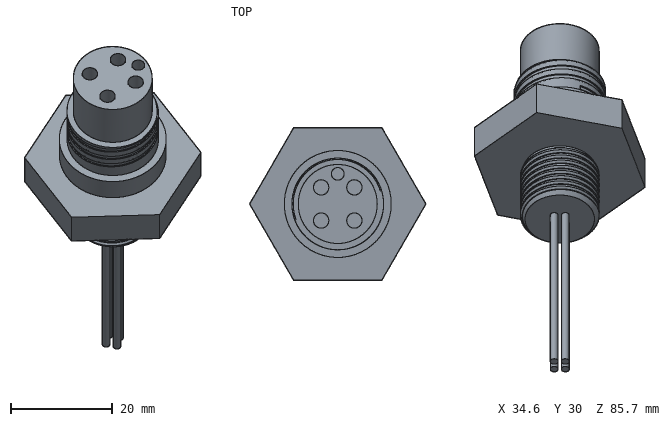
import cadquery as cq
import math

wire_length = 39.85
lower_thread_height = 12.9
hex_height = 7.8
shoulder_height = 5.2
collar_height = 9.2
total_height = 85.7
hex_bottom = wire_length + lower_thread_height
shoulder_bottom = hex_bottom + hex_height
collar_bottom = shoulder_bottom + shoulder_height
barrel_bottom = collar_bottom + collar_height

hex_across_flats = 30.0
hex_across_corners = hex_across_flats / math.cos(math.radians(30))
shoulder_diameter = 21.0
collar_diameter = 18.0
barrel_diameter = 15.5

collar_pitch = 2.4
collar_groove_width = 1.0
collar_groove_depth = 0.25
collar_groove_start_angle = 162.0
collar_groove_start_height = 2.2

lower_thread_diameter = 15.5
lower_thread_root_diameter = 14.65
lower_pitch = 1.41
lower_groove_start_angle = 180.0
lower_groove_turns = 9
neck_height = 0.9
neck_groove_overlap = 0.3
tip_chamfer_radial = 0.9
tip_chamfer_height = 1.0
lower_groove_root_flat = 0.2
lower_crest_flat = 0.5

socket_diameter = 3.0
socket_spacing = 6.5
key_hole_diameter = 2.5
key_hole_offset = 5.9
socket_depth = 8.6

wire_diameter = 1.5
wire_circle_radius = wire_diameter
wire_count = 4
wire_embed = 0.85

cutter_overshoot = 0.25


def cylinder(diameter, bottom, height):
    return cq.Workplane("XY").workplane(offset=bottom).circle(diameter / 2).extrude(height)


def groove_cutter(outer_radius, depth, root_width, crest_width, pitch, turns, start_height, start_angle):
    """Solid that cuts a right-hand helical groove with straight flanks."""
    root_radius = outer_radius - depth
    flank_slope = (crest_width - root_width) / depth
    outer_width = crest_width + flank_slope * cutter_overshoot
    profile_points = [
        (root_radius, -root_width / 2),
        (outer_radius + cutter_overshoot, -outer_width / 2),
        (outer_radius + cutter_overshoot, outer_width / 2),
        (root_radius, root_width / 2),
    ]
    helix = cq.Workplane(cq.Wire.makeHelix(pitch, pitch * turns, root_radius))
    cutter = cq.Workplane("XZ").polyline(profile_points).close().sweep(helix, isFrenet=True)
    return cutter.rotate((0, 0, 0), (0, 0, 1), start_angle).translate((0, 0, start_height))


def make_collar():
    blank = cylinder(collar_diameter, collar_bottom, 2 * collar_height)
    turns = (collar_height - collar_groove_start_height + collar_groove_width) / collar_pitch
    cutter = groove_cutter(
        collar_diameter / 2, collar_groove_depth, collar_groove_width, collar_groove_width,
        collar_pitch, turns, collar_bottom + collar_groove_start_height, collar_groove_start_angle,
    )
    return blank.cut(cutter).intersect(cylinder(shoulder_diameter, collar_bottom, collar_height))


def make_lower_thread():
    radius = lower_thread_diameter / 2
    root_radius = lower_thread_root_diameter / 2
    neck_bottom = hex_bottom - neck_height
    outline = [
        (0, wire_length),
        (radius - tip_chamfer_radial, wire_length),
        (radius, wire_length + tip_chamfer_height),
        (radius, neck_bottom),
        (root_radius, neck_bottom),
        (root_radius, hex_bottom),
        (0, hex_bottom),
    ]
    stud = cq.Workplane("XZ").polyline(outline).close().revolve(360, (0, 0), (0, 1))
    groove_start = hex_bottom - neck_groove_overlap - lower_groove_turns * lower_pitch
    cutter = groove_cutter(
        radius, radius - root_radius, lower_groove_root_flat, lower_pitch - lower_crest_flat,
        lower_pitch, lower_groove_turns, groove_start, lower_groove_start_angle,
    )
    return stud.cut(cutter)


def make_wires():
    return (
        cq.Workplane("XY")
        .polarArray(wire_circle_radius, 0, 360, wire_count)
        .circle(wire_diameter / 2)
        .extrude(wire_length + wire_embed)
    )


def make_sockets():
    face = cq.Workplane("XY").workplane(offset=total_height)
    socket_places = face.rarray(socket_spacing, socket_spacing, 2, 2)
    sockets = socket_places.circle(socket_diameter / 2).extrude(-socket_depth)
    key_hole = face.center(0, key_hole_offset).circle(key_hole_diameter / 2).extrude(-socket_depth)
    return sockets.union(key_hole)


hexagon = cq.Workplane("XY").workplane(offset=hex_bottom).polygon(6, hex_across_corners).extrude(hex_height)
shoulder = cylinder(shoulder_diameter, shoulder_bottom, shoulder_height)
barrel = cylinder(barrel_diameter, barrel_bottom, total_height - barrel_bottom)

result = (
    hexagon.union(shoulder)
    .union(make_collar())
    .union(barrel)
    .union(make_lower_thread())
    .union(make_wires())
    .cut(make_sockets())
)